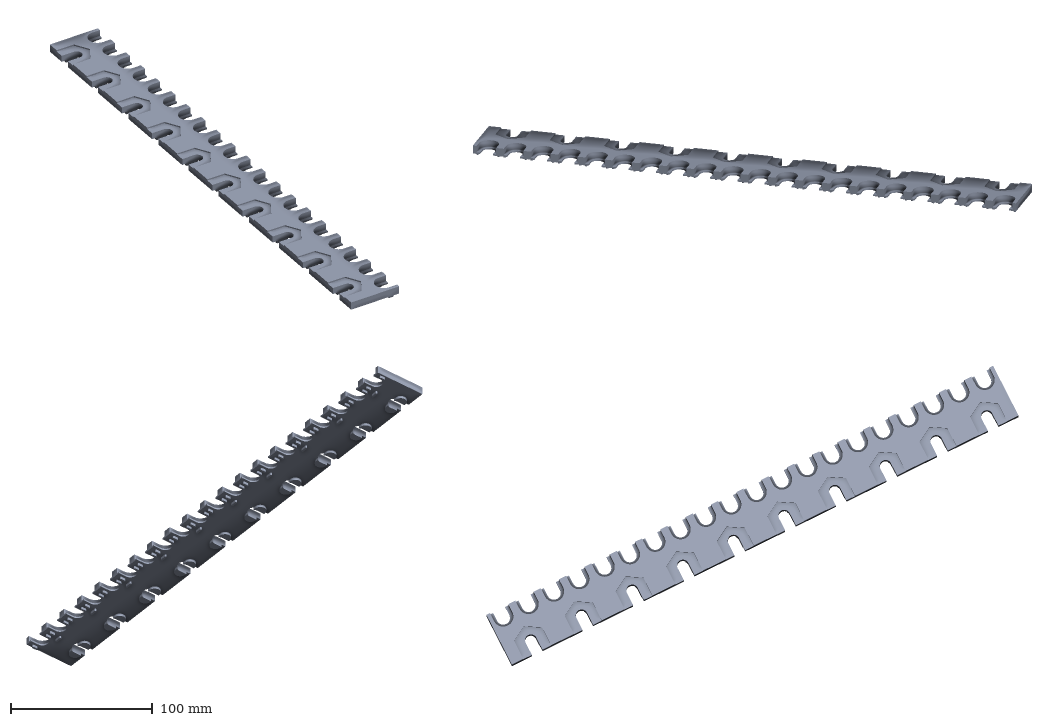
import cadquery as cq

LENGTH = 400.0
WIDTH = 40.0
PLATE_THICKNESS = 6.0

SLOT_PITCH = 40.0
SLOT_COUNT = round(LENGTH / SLOT_PITCH)
SLOT_WIDTH = 8.5
SLOT_DEPTH = 14.0

RECESS_WIDTH = 22.0
RECESS_SHOULDER_Y = 14.5
RECESS_PEAK_Y = 21.0
RECESS_DEPTH = 1.0

NOTCH_PITCH = SLOT_PITCH / 2
NOTCH_COUNT = round(LENGTH / NOTCH_PITCH)
NOTCH_WIDTH = 9.5
NOTCH_DEPTH = 11.0
LIP_WIDTH = 2.5
LIP_THICKNESS = 1.0

FOOT_HEIGHT = 2.0
SLOT_FOOT_LENGTH = 19.5
SLOT_FOOT_WIDTH = 9.0
SLOT_FOOT_Y = 8.0
RIB_LENGTH = 4.5
RIB_WIDTH = 1.5
TOOTH_RIB_OFFSET = 2.2
RIB_Y = 34.5
BAR_LENGTH = 5.5
BAR_WIDTH = 1.5
BAR_Y = 27.0


def round_ended_cut(x, edge_y, inward, width, depth, bottom_z):
    """Slot running from a long edge into the plate, open at the top from bottom_z up."""
    radius = width / 2
    arc_y = edge_y + inward * (depth - radius)
    return (
        cq.Workplane("XY", origin=(x, 0, bottom_z))
        .moveTo(-radius, edge_y)
        .lineTo(-radius, arc_y)
        .threePointArc((0, edge_y + inward * depth), (radius, arc_y))
        .lineTo(radius, edge_y)
        .close()
        .extrude(PLATE_THICKNESS - bottom_z)
    )


def house_recess(x):
    """Pointed recess sunk into the top face around a mounting slot."""
    half = RECESS_WIDTH / 2
    outline = [
        (-half, 0),
        (-half, RECESS_SHOULDER_Y),
        (0, RECESS_PEAK_Y),
        (half, RECESS_SHOULDER_Y),
        (half, 0),
    ]
    floor_z = PLATE_THICKNESS - RECESS_DEPTH
    return cq.Workplane("XY", origin=(x, 0, floor_z)).polyline(outline).close().extrude(RECESS_DEPTH)


def foot(x, y, length, width, angle=0):
    """Round-ended foot hanging below the plate."""
    return cq.Workplane("XY").center(x, y).slot2D(length, width, angle).extrude(-FOOT_HEIGHT)


slot_positions = [(i + 0.5) * SLOT_PITCH for i in range(SLOT_COUNT)]
notch_positions = [(i + 0.5) * NOTCH_PITCH for i in range(NOTCH_COUNT)]

result = cq.Workplane("XY").box(LENGTH, WIDTH, PLATE_THICKNESS, centered=False)

for x in slot_positions:
    result = result.union(foot(x, SLOT_FOOT_Y, SLOT_FOOT_LENGTH, SLOT_FOOT_WIDTH))
    result = result.union(foot(x, BAR_Y, BAR_LENGTH, BAR_WIDTH))

rib_to_notch = NOTCH_PITCH / 2 - TOOTH_RIB_OFFSET
for x in notch_positions:
    for side in (-1, 1):
        result = result.union(foot(x + side * rib_to_notch, RIB_Y, RIB_LENGTH, RIB_WIDTH, 90))

for x in slot_positions:
    result = result.cut(house_recess(x))
    result = result.cut(round_ended_cut(x, 0, 1, SLOT_WIDTH, SLOT_DEPTH, -FOOT_HEIGHT))

upper_notch_width = NOTCH_WIDTH + 2 * LIP_WIDTH
upper_notch_depth = NOTCH_DEPTH + LIP_WIDTH
for x in notch_positions:
    result = result.cut(round_ended_cut(x, WIDTH, -1, NOTCH_WIDTH, NOTCH_DEPTH, 0))
    result = result.cut(round_ended_cut(x, WIDTH, -1, upper_notch_width, upper_notch_depth, LIP_THICKNESS))